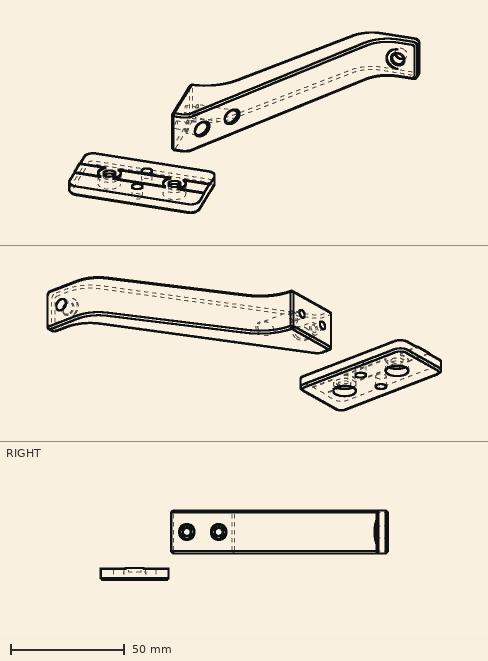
import cadquery as cq
import math

plate_length = 60.0
plate_width = plate_length / 2
plate_thickness = 5.0
plate_corner_radius = 4.0
edge_chamfer = 1.0

rail_width = 8.0
rail_height = 0.4
bolt_spacing = plate_length / 2
bolt_diameter = 5.5
bolt_head_diameter = 10.0
bolt_seat_thickness = 1.5
pin_spacing = 14.0
pin_diameter = 4.7

bracket_length = 84.9
bracket_depth = 95.5
bracket_height = 19.0
heel_depth = 28.0
heel_foot = 7.3
heel_radius = 5.0
ledge_corner = 11.4
tip_thickness = 5.0
tip_inner_corner = 68.2
tip_outer_corner = 59.6
tip_bend_radius = 15.0
tip_end_radius = 2.0

tip_hole_diameter = bolt_diameter
tip_hole_chamfer = 0.4
spot_face_diameter = bolt_head_diameter
screw_spacing = pin_spacing
screw_diameter = 3.5
screw_head_diameter = 6.0
screw_seat_thickness = 5.0
screw_rim_chamfer = 0.5

overall_length = 123.5
overall_depth = 126.5
overall_height = 30.7
bracket_x = overall_length - bracket_length - plate_length / 2
bracket_y = overall_depth - bracket_depth - plate_width / 2
bracket_z = overall_height - bracket_height


def bar_along_y(x, z, diameter, y_start, y_end):
    """Cylinder along Y, used as a cutter."""
    return cq.Workplane(cq.Solid.makeCylinder(
        diameter / 2, y_end - y_start, cq.Vector(x, y_start, z), cq.Vector(0, 1, 0)))


def bar_along_x(y, z, diameter, x_start, x_end):
    """Cylinder along X, used as a cutter."""
    return cq.Workplane(cq.Solid.makeCylinder(
        diameter / 2, x_end - x_start, cq.Vector(x_start, y, z), cq.Vector(1, 0, 0)))


def make_plate():
    """Rounded plate with a broken rail along its top, two bolt holes and two pin holes."""
    bolt_points = [(-bolt_spacing / 2, 0), (bolt_spacing / 2, 0)]
    pin_points = [(0, -pin_spacing / 2), (0, pin_spacing / 2)]

    plate = (
        cq.Workplane("XY")
        .rect(plate_length, plate_width)
        .extrude(plate_thickness)
        .edges("|Z").fillet(plate_corner_radius)
        .faces("<Z").edges().chamfer(edge_chamfer)
    )

    rail = (
        cq.Workplane("XY", origin=(0, 0, plate_thickness))
        .rect(plate_length, rail_width)
        .extrude(rail_height)
    )
    clearances = (
        cq.Workplane("XY", origin=(0, 0, plate_thickness))
        .pushPoints(bolt_points)
        .circle(bolt_head_diameter / 2)
        .extrude(rail_height)
    )
    plate = plate.union(rail.cut(clearances))

    bolt_holes = (
        cq.Workplane("XY").pushPoints(bolt_points)
        .circle(bolt_diameter / 2).extrude(plate_thickness)
    )
    bolt_head_recesses = (
        cq.Workplane("XY").pushPoints(bolt_points)
        .circle(bolt_head_diameter / 2).extrude(plate_thickness - bolt_seat_thickness)
    )
    pin_holes = (
        cq.Workplane("XY").pushPoints(pin_points)
        .circle(pin_diameter / 2).extrude(plate_thickness)
    )
    return plate.cut(bolt_holes).cut(bolt_head_recesses).cut(pin_holes)


def bracket_outline():
    """Closed outline of the bracket and the X position where its inner bend meets the tip."""
    tip_face = bracket_depth - tip_thickness
    inner_angle = math.atan2(tip_face, tip_inner_corner - heel_foot)
    outer_angle = math.atan2(bracket_depth - heel_depth, tip_outer_corner - ledge_corner)
    ledge_radius = ledge_corner / math.tan(outer_angle / 2)

    def bend(corner_x, corner_y, radius, angle, side):
        """Start, middle and end of an arc between a level line and the arm.

        side is 1 where the arm rises from the level line and -1 where it climbs up to it.
        """
        level_x = corner_x - side * radius * math.tan(angle / 2)

        def point(turn):
            return (level_x + side * radius * math.sin(turn),
                    corner_y + side * radius * (1 - math.cos(turn)))

        return point(0), point(angle / 2), point(angle)

    heel = bend(heel_foot, 0, heel_radius, inner_angle, 1)
    tip_inner = bend(tip_inner_corner, tip_face, tip_bend_radius, inner_angle, -1)
    tip_outer = bend(tip_outer_corner, bracket_depth, tip_bend_radius, outer_angle, -1)
    ledge = bend(ledge_corner, heel_depth, ledge_radius, outer_angle, 1)

    return (
        cq.Workplane("XY")
        .moveTo(0, 0)
        .lineTo(*heel[0])
        .threePointArc(heel[1], heel[2])
        .lineTo(*tip_inner[2])
        .threePointArc(tip_inner[1], tip_inner[0])
        .lineTo(bracket_length, tip_face)
        .lineTo(bracket_length, bracket_depth)
        .lineTo(*tip_outer[0])
        .threePointArc(tip_outer[1], tip_outer[2])
        .lineTo(*ledge[2])
        .threePointArc(ledge[1], (0, heel_depth))
        .close()
    ), tip_inner[0][0]


def make_bracket():
    """Slanted arm with two head-recessed screw holes in the heel and one hole in the tip."""
    outline, tip_hole_x = bracket_outline()
    tip_face = bracket_depth - tip_thickness
    middle_z = bracket_height / 2

    body = outline.extrude(bracket_height)
    body = body.faces(">X").edges("|Y").fillet(tip_end_radius)
    body = body.edges().chamfer(edge_chamfer)

    tip_hole = bar_along_y(tip_hole_x, middle_z, tip_hole_diameter, 0, bracket_depth)
    spot_face = bar_along_y(tip_hole_x, middle_z, spot_face_diameter, 0, tip_face)
    body = body.cut(spot_face).cut(tip_hole)
    tip_hole_rim = cq.selectors.BoxSelector(
        (tip_hole_x - tip_hole_diameter, tip_face - tip_hole_chamfer, middle_z - tip_hole_diameter),
        (tip_hole_x + tip_hole_diameter, tip_face + tip_hole_chamfer, middle_z + tip_hole_diameter))
    body = body.edges(tip_hole_rim).edges(
        cq.selectors.RadiusNthSelector(0)).chamfer(tip_hole_chamfer)

    arm_slope = tip_face / (tip_inner_corner - heel_foot)
    for side in (-1, 1):
        screw_y = heel_depth / 2 + side * screw_spacing / 2
        rim_x = heel_foot + screw_y / arm_slope
        body = body.cut(bar_along_x(screw_y, middle_z, screw_diameter, 0, screw_seat_thickness))
        body = body.cut(bar_along_x(
            screw_y, middle_z, screw_head_diameter, screw_seat_thickness, bracket_length))
        body = body.edges(cq.selectors.NearestToPointSelector(
            (rim_x, screw_y, middle_z))).chamfer(screw_rim_chamfer)
    return body


plate = make_plate()
bracket = make_bracket().translate((bracket_x, bracket_y, bracket_z))

result = cq.Compound.makeCompound([plate.val(), bracket.val()])